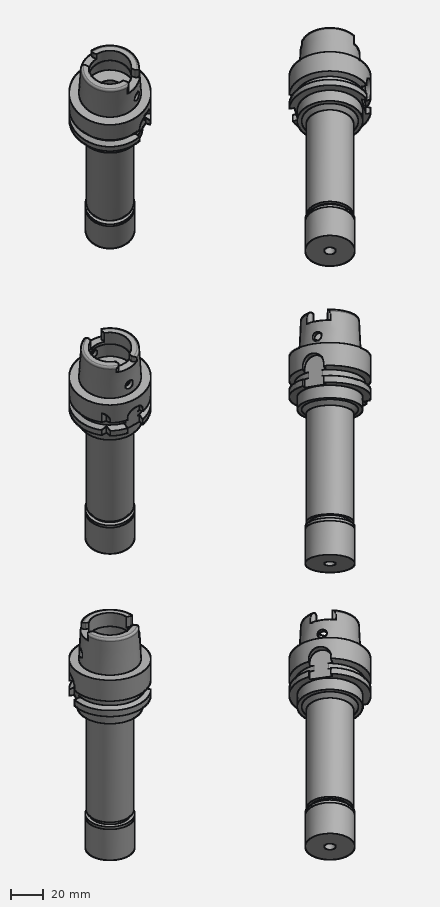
import cadquery as cq
import math

overall_length = 160.0
shank_height = 25.0
nut_bottom_z = shank_height - overall_length

shank_base_radius = 19.05
shank_taper = 1 / 10
shank_top_radius = shank_base_radius - shank_height * shank_taper / 2
shank_rim_fillet = 1.5

bore_radius = 13.0
bore_lip_z = 15.25
undercut_radius = 16.0
bore_floor_z = 2.0
coolant_seat_radius = 8.0
coolant_seat_depth = 10.0
through_hole_radius = 3.5

keyway_width = 10.5
keyway_corner_radius = 2.0
keyway_depth_minus_x = 4.5
keyway_depth_plus_x = 7.5

cross_hole_diameter = 6.0
cross_hole_z = 7.25

flange_radius = 25.0
flange_height = 26.0
groove_radius = 21.5
groove_center_z = -18.3
groove_outer_width = 6.7
groove_inner_width = 3.75

slot_width = 12.0
wide_slot_width = 14.0
slot_center_z = -13.1
slot_floor_distance = 21.0
notch_wall_distance = 15.7

collar_radius = 20.0
collar_bottom_z = -34.2
neck_cone_height = 2.75
neck_radius = 14.55
neck_cone_radius = neck_radius + neck_cone_height
relief_radius = 12.5

nut_radius = 15.2
nut_height = 22.2
ring_height = 1.9
relief_height = 2.8
nut_top_z = nut_bottom_z + nut_height
ring_top_z = nut_top_z + ring_height
neck_bottom_z = ring_top_z + relief_height


def make_holder_blank():
    """Solid of revolution: shank, flange with its groove, collar, neck and relief."""
    blank = (
        cq.Workplane("XZ")
        .moveTo(0, ring_top_z)
        .lineTo(relief_radius, ring_top_z)
        .lineTo(relief_radius, neck_bottom_z)
        .lineTo(neck_radius, neck_bottom_z)
        .lineTo(neck_radius, collar_bottom_z - neck_cone_height)
        .lineTo(neck_cone_radius, collar_bottom_z)
        .lineTo(collar_radius, collar_bottom_z)
        .lineTo(collar_radius, -flange_height)
        .lineTo(flange_radius, -flange_height)
        .lineTo(flange_radius, groove_center_z - groove_outer_width / 2)
        .lineTo(groove_radius, groove_center_z - groove_inner_width / 2)
        .lineTo(groove_radius, groove_center_z + groove_inner_width / 2)
        .lineTo(flange_radius, groove_center_z + groove_outer_width / 2)
        .lineTo(flange_radius, 0)
        .lineTo(shank_base_radius, 0)
        .lineTo(shank_top_radius, shank_height)
        .lineTo(0, shank_height)
        .close()
        .revolve(360, (0, 0), (0, 1))
    )
    return blank.faces(">Z").edges().fillet(shank_rim_fillet)


def make_bore():
    """Stepped bore: mouth, clamping undercut, coolant seat and through hole."""
    seat_floor_z = bore_floor_z - coolant_seat_depth
    return (
        cq.Workplane("XZ")
        .moveTo(0, nut_bottom_z)
        .lineTo(through_hole_radius, nut_bottom_z)
        .lineTo(through_hole_radius, seat_floor_z)
        .lineTo(coolant_seat_radius, seat_floor_z)
        .lineTo(coolant_seat_radius, bore_floor_z)
        .lineTo(undercut_radius, bore_floor_z)
        .lineTo(undercut_radius, bore_lip_z)
        .lineTo(bore_radius, bore_lip_z)
        .lineTo(bore_radius, shank_height)
        .lineTo(0, shank_height)
        .close()
        .revolve(360, (0, 0), (0, 1))
    )


def make_keyway(side, depth):
    """Drive keyway cutter on the side (+1 or -1) of X, its mouth rounded into the shank wall."""
    floor_z = shank_height - depth
    half_width = keyway_width / 2
    mid_z = floor_z + depth / 2
    wall_radius = shank_base_radius - mid_z * shank_taper / 2
    arc_y = half_width + keyway_corner_radius
    arc_center_distance = wall_radius - keyway_corner_radius
    arc_x = math.sqrt(arc_center_distance**2 - arc_y**2)
    arc_angle = math.atan2(arc_y, arc_x)
    end_x = wall_radius * math.cos(arc_angle)
    end_y = wall_radius * math.sin(arc_angle)
    mid_angle = (arc_angle - math.pi / 2) / 2
    mid_x = arc_x + keyway_corner_radius * math.cos(mid_angle)
    mid_y = arc_y + keyway_corner_radius * math.sin(mid_angle)
    return (
        cq.Workplane("XY", origin=(0, 0, floor_z))
        .moveTo(0, -half_width)
        .lineTo(side * arc_x, -half_width)
        .threePointArc((side * mid_x, -mid_y), (side * end_x, -end_y))
        .lineTo(side * flange_radius, -end_y)
        .lineTo(side * flange_radius, end_y)
        .lineTo(side * end_x, end_y)
        .threePointArc((side * mid_x, mid_y), (side * arc_x, half_width))
        .lineTo(0, half_width)
        .close()
        .extrude(depth)
    )


def make_flange_slot(side, width, floor_distance, center_y):
    """Slot cutter with a round upper end, open at the flange underside, with a flat floor facing X."""
    radius = width / 2
    return (
        cq.Workplane("YZ", origin=(side * floor_distance, 0, 0))
        .moveTo(center_y - radius, -flange_height)
        .lineTo(center_y - radius, slot_center_z)
        .threePointArc((center_y, slot_center_z + radius), (center_y + radius, slot_center_z))
        .lineTo(center_y + radius, -flange_height)
        .close()
        .extrude(side * flange_radius)
    )


def make_holder():
    cross_hole = cq.Workplane("YZ").center(0, cross_hole_z).circle(cross_hole_diameter / 2)
    notch_center_y = notch_wall_distance + slot_width / 2
    return (
        make_holder_blank()
        .cut(make_bore())
        .cut(make_keyway(-1, keyway_depth_minus_x))
        .cut(make_keyway(1, keyway_depth_plus_x))
        .cut(cross_hole.extrude(flange_radius, both=True))
        .cut(make_flange_slot(-1, slot_width, slot_floor_distance, 0))
        .cut(make_flange_slot(1, wide_slot_width, slot_floor_distance, 0))
        .cut(make_flange_slot(-1, slot_width, notch_wall_distance, notch_center_y))
    )


def make_sleeve(bottom_z, height):
    """Cylinder of the nut's diameter with the through hole along its axis."""
    return (
        cq.Workplane("XY", origin=(0, 0, bottom_z))
        .circle(nut_radius)
        .circle(through_hole_radius)
        .extrude(height)
    )


holder = make_holder()
ring = make_sleeve(nut_top_z, ring_height)
nut = make_sleeve(nut_bottom_z, nut_height)

result = cq.Compound.makeCompound([holder.val(), ring.val(), nut.val()])